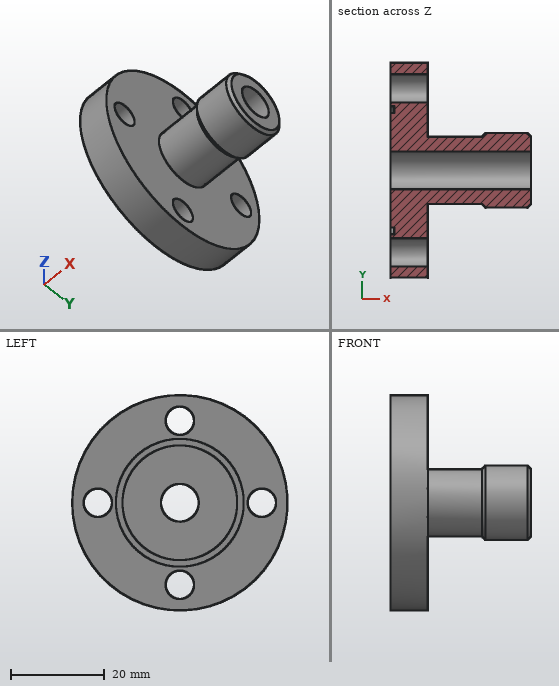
import cadquery as cq

TOTAL_LENGTH = 30.0
FLANGE_DIAMETER = 46.0
FLANGE_THICKNESS = 8.0
NECK_DIAMETER = 14.4
HEAD_DIAMETER = 16.0
HEAD_LENGTH = 10.5
BORE_DIAMETER = 8.0

BOLT_HOLE_COUNT = 4
BOLT_HOLE_DIAMETER = 6.0
BOLT_CIRCLE_DIAMETER = 35.0

GROOVE_OUTER_DIAMETER = 27.3
GROOVE_INNER_DIAMETER = 24.5
GROOVE_DEPTH = 0.8

HEAD_CHAMFER = (HEAD_DIAMETER - NECK_DIAMETER) / 2


def cylinder(diameter, start, length):
    """Solid cylinder along +X that begins at X = start."""
    return cq.Workplane("YZ", origin=(start, 0, 0)).circle(diameter / 2).extrude(length)


def make_body():
    """Flange, neck and chamfered head, all on the X axis."""
    head_start = TOTAL_LENGTH - HEAD_LENGTH
    flange = cylinder(FLANGE_DIAMETER, 0, FLANGE_THICKNESS)
    neck = cylinder(NECK_DIAMETER, 0, head_start)
    head = cylinder(HEAD_DIAMETER, head_start, HEAD_LENGTH)
    head = head.faces("<X or >X").chamfer(HEAD_CHAMFER)
    return flange.union(neck).union(head)


def make_bolt_holes():
    """Cutters for the bolt holes, evenly spaced from the +Y direction."""
    return (
        cq.Workplane("YZ")
        .polarArray(BOLT_CIRCLE_DIAMETER / 2, 0, 360, BOLT_HOLE_COUNT)
        .circle(BOLT_HOLE_DIAMETER / 2)
        .extrude(FLANGE_THICKNESS)
    )


def make_groove():
    """Cutter for the ring groove in the flange face at X = 0."""
    outer = cylinder(GROOVE_OUTER_DIAMETER, 0, GROOVE_DEPTH)
    return outer.cut(cylinder(GROOVE_INNER_DIAMETER, 0, GROOVE_DEPTH))


bore = cylinder(BORE_DIAMETER, 0, TOTAL_LENGTH)
result = make_body().cut(bore).cut(make_bolt_holes()).cut(make_groove())